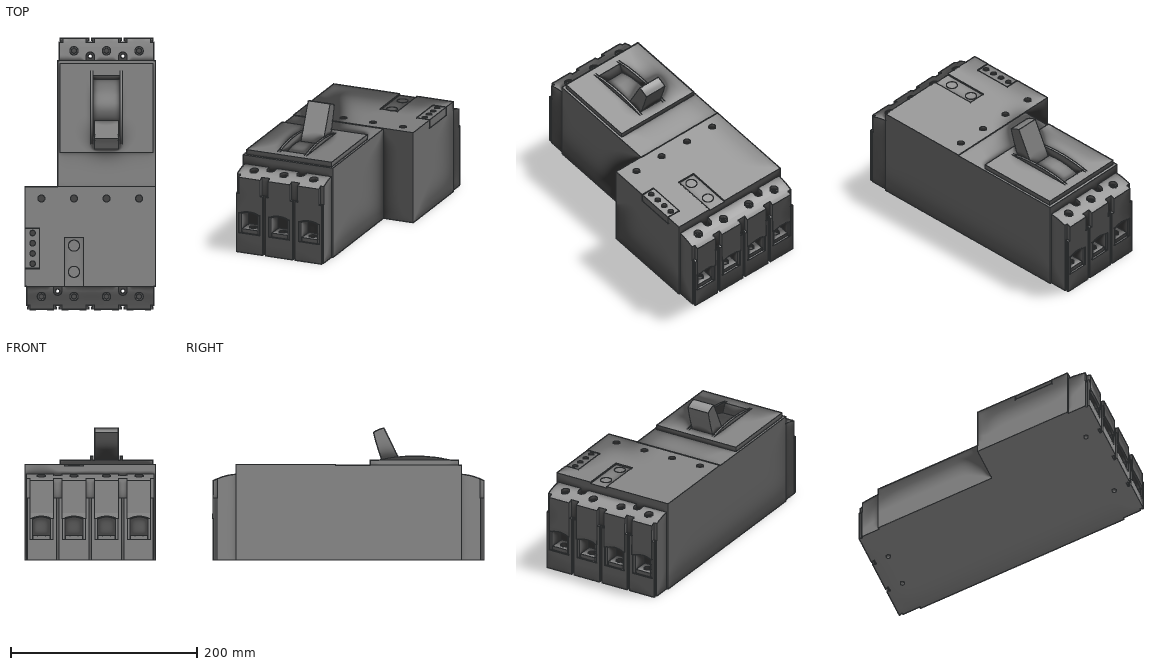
import cadquery as cq

TOTAL_WIDTH = 140.23
TOTAL_LENGTH = 291.82
TOTAL_HEIGHT = 142.03
POLE_PITCH = 35.0
BREAKER_POLES = [-POLE_PITCH, 0.0, POLE_PITCH]
MODULE_POLES = [-2 * POLE_PITCH] + BREAKER_POLES
RIGHT_X = TOTAL_WIDTH / 2 - POLE_PITCH / 2
BREAKER_LEFT_X = -RIGHT_X
MODULE_LEFT_X = RIGHT_X - TOTAL_WIDTH

MODULE_FRONT_Y = 25.3
MODULE_REAR_Y = 132.4
BREAKER_REAR_Y = 267.7
MODULE_TOP_Z = 103.0
BREAKER_TOP_Z = 102.2
COVER_TOP_Z = 107.5
COVER_FRONT_Y = 169.3
COVER_REAR_Y = 264.4
COVER_HALF_WIDTH = 49.9

TERMINAL_INSET = 1.8
TERMINAL_END_Z = 85.4
TERMINAL_BODY_Z = 92.4
TERMINAL_ARC_LENGTH = 24.9
TERMINAL_ARC_SAG = 1.4
HOOD_PROJECTION = 0.8

OUTER_SLOT_SHIFT = 1.0
NOTCH_WIDTH = 9.0
NOTCH_DEPTH = 4.4
NOTCH_FLOOR_Z = 66.8
SLOT_MOUTH_WIDTH = 3.0
SLOT_MOUTH_DEPTH = 2.2
SLOT_INNER_WIDTH = 4.6
SLOT_DEPTH = 3.9

SCREW_OFFSET = 13.5
SCREW_HOLE_DIAMETER = 9.0
SCREW_HEAD_Z = 86.8
SOCKET_ACROSS_CORNERS = 6.0
SOCKET_DEPTH = 3.0
HEX_SIDES = 6
QUARTER_TURN = 90
MOUNT_OFFSET = 19.3
MOUNT_HOLE_DIAMETER = 4.5
MOUNT_RECESS_DIAMETER = 9.0

WINDOW_BOTTOM_Z = 22.0
FRAME_HALF_WIDTH = 12.3
FRAME_SHOULDER_Z = 44.8
FRAME_ARCH_HALF_WIDTH = 10.7
FRAME_ARCH_TOP_Z = 47.3
FRAME_DEPTH = 1.5
OPENING_HALF_WIDTH = 9.7
OPENING_SHOULDER_Z = 43.8
OPENING_ARCH_TOP_Z = 46.3
OPENING_DEPTH = 20.0
PLATE_HALF_WIDTH = 9.2
PLATE_TOP_Z = 26.4
PLATE_SETBACK = 2.3
PLATE_HOLE_DIAMETER = 8.5
PLATE_HOLE_OFFSET = 11.3
HOOD_RIDGE_Z = 50.2
HOOD_RIDGE_PROJECTION = 0.46

TEST_HOLE_DIAMETER = 7.5
TEST_HOLE_DEPTH = 10.0
TEST_HOLE_Y = 119.6
BUTTON_RECESS_WIDTH = 20.5
BUTTON_RECESS_REAR_Y = 77.9
BUTTON_RECESS_DEPTH = 1.7
BUTTON_DIAMETER = 12.0
BUTTON_HEIGHT = 0.2
BUTTON_CENTERS_Y = [40.8, 69.0]
BUTTON_X = -POLE_PITCH
CONNECTOR_WIDTH = 15.7
CONNECTOR_FRONT_Y = 43.9
CONNECTOR_REAR_Y = 88.2
CONNECTOR_BOTTOM_Z = 93.4
CONNECTOR_END_GAP = 0.8
CONNECTOR_STEP = 0.2
CONNECTOR_HOLE_DIAMETER = 6.0
CONNECTOR_HOLE_DEPTH = 8.0
CONNECTOR_HOLE_PITCH = 11.0
CONNECTOR_HOLE_COUNT = 4
CONNECTOR_HOLE_X = -79.4

TOGGLE_Y = 217.3
RAIL_HALF_LENGTH = 39.2
RAIL_TOP_Z = 112.0
RAIL_INNER_X = 14.5
RAIL_OUTER_X = 17.1
WELL_HALF_LENGTH = 34.7
DRUM_HALF_LENGTH = 30.4
DRUM_EDGE_Z = 97.5
DRUM_TOP_Z = 103.5
HANDLE_HALF_WIDTH = 12.8
HANDLE_ROOT_Z = 98.0
HANDLE_BACK_ROOT_Y = 205.8
HANDLE_BACK_TIP_Y = 184.3
HANDLE_FRONT_ROOT_Y = 185.6
HANDLE_FRONT_TIP_Y = 172.9
HANDLE_FRONT_TIP_Z = 137.2
HANDLE_TIP_BULGE = 0.7
HANDLE_FRONT_HOLLOW = 0.8


def box(x0, x1, y0, y1, z0, z1):
    """Box between two opposite corners."""
    return cq.Workplane("XY").box(x1 - x0, y1 - y0, z1 - z0, centered=False).translate((x0, y0, z0))


def cylinder(diameter, x, y, z0, z1):
    """Vertical cylinder between two heights."""
    return cq.Workplane("XY").circle(diameter / 2).extrude(z1 - z0).translate((x, y, z0))


def across_x(profile, x0, x1):
    """Extrude a closed Y-Z profile from x0 to x1."""
    return profile.extrude(x1 - x0).translate((x0, 0, 0))


def arched_opening(x, half_width, shoulder_z, arch_half_width, arch_top_z, depth):
    """Window cutter with a flat sill and an arched head, running inward from the front."""
    lower = box(
        x - half_width, x + half_width, -HOOD_PROJECTION, depth, WINDOW_BOTTOM_Z, shoulder_z
    )
    arch = (
        cq.Workplane("XZ")
        .moveTo(x + arch_half_width, shoulder_z)
        .threePointArc((x, arch_top_z), (x - arch_half_width, shoulder_z))
        .close()
        .extrude(-(depth + HOOD_PROJECTION))
        .translate((0, -HOOD_PROJECTION, 0))
    )
    return lower.union(arch)


def terminal_blank(x0, x1):
    """Terminal block with its rounded top, end face at Y = 0."""
    body_y = TERMINAL_ARC_LENGTH
    arc_middle = (
        body_y / 2,
        (TERMINAL_END_Z + TERMINAL_BODY_Z) / 2 + TERMINAL_ARC_SAG,
    )
    profile = (
        cq.Workplane("YZ")
        .moveTo(0, 0)
        .lineTo(0, TERMINAL_END_Z)
        .threePointArc(arc_middle, (body_y, TERMINAL_BODY_Z))
        .lineTo(body_y, 0)
        .close()
    )
    return across_x(profile, x0, x1)


def hood(left_slot_x, right_slot_x):
    """Panel between two slots, swelling outward down to a lip over the window."""
    profile = (
        cq.Workplane("YZ")
        .moveTo(0, TERMINAL_END_Z)
        .lineTo(-HOOD_RIDGE_PROJECTION, HOOD_RIDGE_Z)
        .lineTo(-HOOD_PROJECTION, FRAME_SHOULDER_Z)
        .lineTo(0, FRAME_SHOULDER_Z)
        .close()
    )
    return across_x(profile, left_slot_x + NOTCH_WIDTH / 2, right_slot_x - NOTCH_WIDTH / 2)


def pole_slot(x):
    """T-shaped slot between poles with a wide notch above it."""

    def centered_box(width, y0, y1, z0, z1):
        return box(x - width / 2, x + width / 2, y0, y1, z0, z1)

    mouth = centered_box(SLOT_MOUTH_WIDTH, 0, SLOT_DEPTH, 0, NOTCH_FLOOR_Z)
    inner = centered_box(SLOT_INNER_WIDTH, SLOT_MOUTH_DEPTH, SLOT_DEPTH, 0, NOTCH_FLOOR_Z)
    notch = centered_box(NOTCH_WIDTH, -HOOD_PROJECTION, NOTCH_DEPTH, NOTCH_FLOOR_Z, TERMINAL_BODY_Z)
    return mouth.union(inner).union(notch)


def mounting_recess(x):
    """U-shaped recess open toward the body, with a hole through to the mounting face."""
    radius = MOUNT_RECESS_DIAMETER / 2
    recess = cylinder(MOUNT_RECESS_DIAMETER, x, MOUNT_OFFSET, NOTCH_FLOOR_Z, TERMINAL_BODY_Z)
    passage = box(
        x - radius, x + radius, MOUNT_OFFSET, TERMINAL_ARC_LENGTH, NOTCH_FLOOR_Z, TERMINAL_BODY_Z
    )
    hole = cylinder(MOUNT_HOLE_DIAMETER, x, MOUNT_OFFSET, 0, TERMINAL_BODY_Z)
    return recess.union(passage).union(hole)


def screw_hole(x):
    """Access hole down to a terminal screw head with its hexagon socket, corners along Y."""
    access = cylinder(SCREW_HOLE_DIAMETER, x, SCREW_OFFSET, SCREW_HEAD_Z, TERMINAL_BODY_Z)
    socket = (
        cq.Workplane("XY")
        .polygon(HEX_SIDES, SOCKET_ACROSS_CORNERS)
        .extrude(SOCKET_DEPTH)
        .rotate((0, 0, 0), (0, 0, 1), QUARTER_TURN)
        .translate((x, SCREW_OFFSET, SCREW_HEAD_Z - SOCKET_DEPTH))
    )
    return access.union(socket)


def window(x):
    """Stepped window cutter for one conductor."""
    frame = arched_opening(
        x, FRAME_HALF_WIDTH, FRAME_SHOULDER_Z, FRAME_ARCH_HALF_WIDTH, FRAME_ARCH_TOP_Z,
        FRAME_DEPTH,
    )
    opening = arched_opening(
        x, OPENING_HALF_WIDTH, OPENING_SHOULDER_Z, OPENING_HALF_WIDTH, OPENING_ARCH_TOP_Z,
        OPENING_DEPTH,
    )
    return frame.union(opening)


def terminal_plate(x):
    """Contact plate lying on the window floor, with a hole for the conductor bolt."""
    plate = box(
        x - PLATE_HALF_WIDTH, x + PLATE_HALF_WIDTH,
        PLATE_SETBACK, OPENING_DEPTH,
        WINDOW_BOTTOM_Z, PLATE_TOP_Z,
    )
    return plate.cut(cylinder(PLATE_HOLE_DIAMETER, x, PLATE_HOLE_OFFSET, WINDOW_BOTTOM_Z, PLATE_TOP_Z))


def terminal_end(poles, body_left_x, mount_xs, hooded):
    """Complete terminal block facing -Y with its end face at Y = 0; any hoods project beyond it."""
    block = terminal_blank(body_left_x + TERMINAL_INSET, RIGHT_X - TERMINAL_INSET)
    first_slot = poles[0] - POLE_PITCH / 2 + OUTER_SLOT_SHIFT
    last_slot = poles[-1] + POLE_PITCH / 2 - OUTER_SLOT_SHIFT
    inner_slots = [x + POLE_PITCH / 2 for x in poles[:-1]]
    slots = [first_slot] + inner_slots + [last_slot]
    if hooded:
        for left_x, right_x in zip(slots[:-1], slots[1:]):
            block = block.union(hood(left_x, right_x))
    for x in slots:
        block = block.cut(pole_slot(x))
    for x in poles:
        block = block.cut(window(x)).cut(screw_hole(x)).union(terminal_plate(x))
    for x in mount_xs:
        block = block.cut(mounting_recess(x))
    return block


def breaker_body():
    """Breaker housing with its raised cover."""
    housing = box(BREAKER_LEFT_X, RIGHT_X, MODULE_REAR_Y, BREAKER_REAR_Y, 0, BREAKER_TOP_Z)
    cover = box(
        -COVER_HALF_WIDTH, COVER_HALF_WIDTH, COVER_FRONT_Y, COVER_REAR_Y, BREAKER_TOP_Z, COVER_TOP_Z
    )
    return housing.union(cover)


def guide_rails():
    """Two thin arched rails standing on the cover on either side of the well."""
    profile = (
        cq.Workplane("YZ")
        .moveTo(TOGGLE_Y - RAIL_HALF_LENGTH, COVER_TOP_Z)
        .threePointArc((TOGGLE_Y, RAIL_TOP_Z), (TOGGLE_Y + RAIL_HALF_LENGTH, COVER_TOP_Z))
        .close()
    )
    left = across_x(profile, -RAIL_OUTER_X, -RAIL_INNER_X)
    return left.union(left.mirror("YZ"))


def toggle_well():
    """Well cutter with sloping ends and a convex drum as its floor."""
    profile = (
        cq.Workplane("YZ")
        .moveTo(TOGGLE_Y - WELL_HALF_LENGTH, COVER_TOP_Z)
        .lineTo(TOGGLE_Y - DRUM_HALF_LENGTH, DRUM_EDGE_Z)
        .threePointArc((TOGGLE_Y, DRUM_TOP_Z), (TOGGLE_Y + DRUM_HALF_LENGTH, DRUM_EDGE_Z))
        .lineTo(TOGGLE_Y + WELL_HALF_LENGTH, COVER_TOP_Z)
        .close()
    )
    return across_x(profile, -RAIL_INNER_X, RAIL_INNER_X)


def handle():
    """Toggle handle leaning to the front, with a slightly hollow front and a domed tip."""
    tip_middle = (
        (HANDLE_BACK_TIP_Y + HANDLE_FRONT_TIP_Y) / 2,
        (TOTAL_HEIGHT + HANDLE_FRONT_TIP_Z) / 2 + HANDLE_TIP_BULGE,
    )
    front_middle = (
        (HANDLE_FRONT_TIP_Y + HANDLE_FRONT_ROOT_Y) / 2 - HANDLE_FRONT_HOLLOW,
        (HANDLE_FRONT_TIP_Z + HANDLE_ROOT_Z) / 2,
    )
    profile = (
        cq.Workplane("YZ")
        .moveTo(HANDLE_BACK_ROOT_Y, HANDLE_ROOT_Z)
        .lineTo(HANDLE_BACK_TIP_Y, TOTAL_HEIGHT)
        .threePointArc(tip_middle, (HANDLE_FRONT_TIP_Y, HANDLE_FRONT_TIP_Z))
        .threePointArc(front_middle, (HANDLE_FRONT_ROOT_Y, HANDLE_ROOT_Z))
        .close()
    )
    return across_x(profile, -HANDLE_HALF_WIDTH, HANDLE_HALF_WIDTH)


def side_connector(body):
    """Set a four-hole connector block into the top left edge of the module."""
    inner_x = MODULE_LEFT_X + CONNECTOR_WIDTH
    pocket = box(
        MODULE_LEFT_X, inner_x, CONNECTOR_FRONT_Y, CONNECTOR_REAR_Y, CONNECTOR_BOTTOM_Z, MODULE_TOP_Z
    )
    block = box(
        MODULE_LEFT_X + CONNECTOR_STEP, inner_x,
        CONNECTOR_FRONT_Y + CONNECTOR_END_GAP, CONNECTOR_REAR_Y - CONNECTOR_END_GAP,
        CONNECTOR_BOTTOM_Z, MODULE_TOP_Z - CONNECTOR_STEP,
    )
    row_length = (CONNECTOR_HOLE_COUNT - 1) * CONNECTOR_HOLE_PITCH
    first_y = (CONNECTOR_FRONT_Y + CONNECTOR_REAR_Y - row_length) / 2
    for index in range(CONNECTOR_HOLE_COUNT):
        hole_y = first_y + index * CONNECTOR_HOLE_PITCH
        block = block.cut(
            cylinder(
                CONNECTOR_HOLE_DIAMETER, CONNECTOR_HOLE_X, hole_y,
                MODULE_TOP_Z - CONNECTOR_HOLE_DEPTH, MODULE_TOP_Z,
            )
        )
    return body.cut(pocket).union(block)


def button_recess(body):
    """Shallow recess open to the front, holding two low round buttons."""
    floor_z = MODULE_TOP_Z - BUTTON_RECESS_DEPTH
    half_width = BUTTON_RECESS_WIDTH / 2
    body = body.cut(
        box(
            BUTTON_X - half_width, BUTTON_X + half_width,
            MODULE_FRONT_Y, BUTTON_RECESS_REAR_Y,
            floor_z, MODULE_TOP_Z,
        )
    )
    for y in BUTTON_CENTERS_Y:
        body = body.union(cylinder(BUTTON_DIAMETER, BUTTON_X, y, floor_z, floor_z + BUTTON_HEIGHT))
    return body


def residual_current_module():
    """Module housing with test holes, connector block and button recess."""
    body = box(MODULE_LEFT_X, RIGHT_X, MODULE_FRONT_Y, MODULE_REAR_Y, 0, MODULE_TOP_Z)
    for x in MODULE_POLES:
        body = body.cut(
            cylinder(TEST_HOLE_DIAMETER, x, TEST_HOLE_Y, MODULE_TOP_Z - TEST_HOLE_DEPTH, MODULE_TOP_Z)
        )
    return button_recess(side_connector(body))


half_pitch = POLE_PITCH / 2
front_terminals = terminal_end(
    MODULE_POLES, MODULE_LEFT_X, [-3 * half_pitch, half_pitch], hooded=True
).translate((0, HOOD_PROJECTION, 0))
rear_terminals = (
    terminal_end(BREAKER_POLES, BREAKER_LEFT_X, [-half_pitch, half_pitch], hooded=False)
    .mirror("XZ")
    .translate((0, TOTAL_LENGTH, 0))
)

result = (
    breaker_body()
    .union(residual_current_module())
    .union(front_terminals)
    .union(rear_terminals)
    .union(guide_rails())
    .cut(toggle_well())
    .union(handle())
)